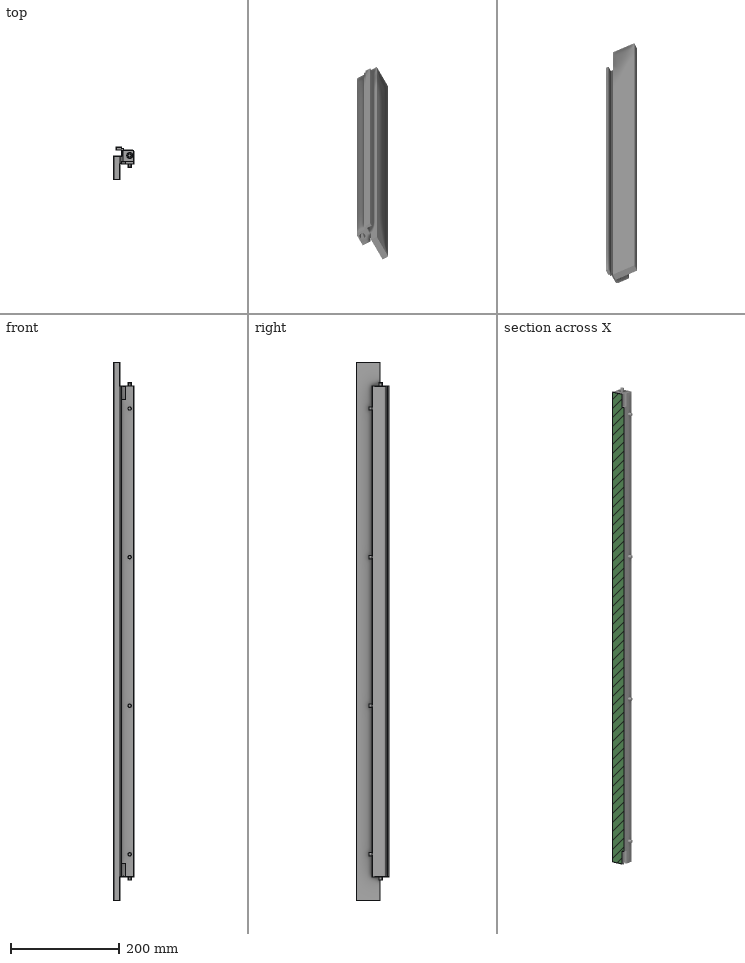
import cadquery as cq

panel_length = 995.0
panel_thickness = 12.0
panel_width = 44.0

strip_thickness = 3.0
strip_setback = 1.0

overall_width = 38.0
rail_length = 907.0
rail_depth = 26.0
rail_overlap = 15.0
rail_corner_radius = 4.0
web_thickness = 3.0
front_wall = 5.0
outer_wall = 1.0
end_recess = 1.0

lip_start = 5.0
lip_thickness = 5.4
stem_height = 3.0
stem_width = 4.0

rod_diameter = 6.0
rod_projection = 6.0
rod_x = 30.0
rod_back_offset = 10.0
clearance_diameter = 11.0
clearance_depth = 25.0

screw_diameter = 6.0
screw_projection = 6.0
screw_spacing = 275.0
screw_count = 4

notch_width = 7.0
notch_length = 25.0
notch_depth = front_wall

rail_left = panel_thickness + strip_thickness
rail_width = overall_width - rail_left
rail_front = panel_width - rail_overlap
rail_back = rail_front + rail_depth
rail_end = rail_length / 2
rod_y = rail_back - rod_back_offset
end_signs = (-1, 1)


def bar(x, y, width, depth, length, center_z=0.0):
    """Upright bar from its low X and Y corner, centred on center_z."""
    solid = cq.Workplane("XY").box(width, depth, length, centered=(False, False, True))
    return solid.translate((x, y, center_z))


def rod(diameter, length, center_z=0.0):
    """Cylinder on the rod axis, centred on center_z."""
    solid = cq.Workplane("XY").circle(diameter / 2).extrude(length / 2, both=True)
    return solid.translate((rod_x, rod_y, center_z))


def make_panel():
    return bar(0, 0, panel_thickness, panel_width, panel_length)


def make_strip():
    strip_front = rail_front + strip_setback
    strip_depth = panel_width - strip_front
    return bar(panel_thickness, strip_front, strip_thickness, strip_depth, rail_length)


def make_rail():
    rail = bar(rail_left, rail_front, rail_width, rail_depth, rail_length)
    rail = rail.edges("|Z and >X and >Y").fillet(rail_corner_radius)
    recess_width = rail_width - web_thickness - outer_wall
    recess_depth = rail_depth - front_wall - outer_wall
    for sign in end_signs:
        recess = bar(
            rail_left + web_thickness,
            rail_front + front_wall,
            recess_width,
            recess_depth,
            end_recess,
            sign * (rail_end - end_recess / 2),
        )
        notch = bar(
            rail_left,
            rail_front,
            notch_width,
            notch_depth,
            notch_length,
            sign * (rail_end - notch_length / 2),
        )
        clearance = rod(clearance_diameter, clearance_depth, sign * (rail_end - clearance_depth / 2))
        rail = rail.cut(recess).cut(notch).cut(clearance)
    return rail


def make_lip():
    lip_width = rail_left - lip_start
    lip = bar(lip_start, rail_back, lip_width, lip_thickness, rail_length)
    stem = bar(rail_left, rail_back, stem_width, stem_height, rail_length)
    return lip.union(stem)


def make_rod():
    return rod(rod_diameter, rail_length + 2 * rod_projection)


def make_screws():
    return (
        cq.Workplane("XZ", origin=(rod_x, rail_front + front_wall, 0))
        .rarray(10, screw_spacing, 1, screw_count)
        .circle(screw_diameter / 2)
        .extrude(front_wall + screw_projection)
    )


result = make_panel()
for piece in (make_strip(), make_rail(), make_lip(), make_rod(), make_screws()):
    result = result.union(piece)